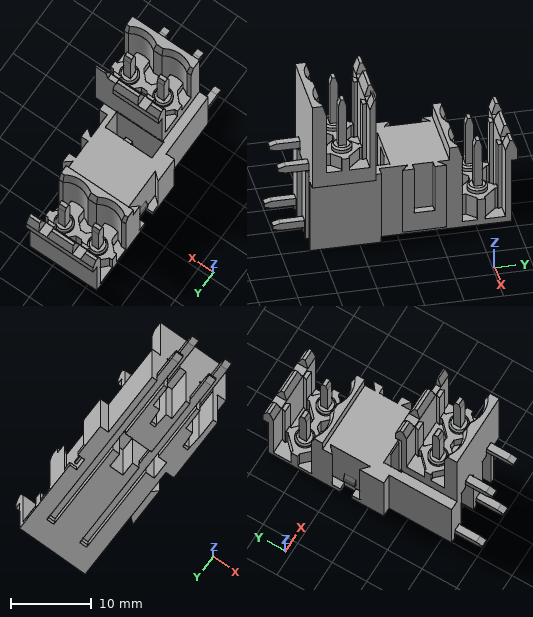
import cadquery as cq

pitch = 5.08
contacts_per_row = 2
row_width = contacts_per_row * pitch
row_shift_x = pitch / 2
row_shift_y = 17.75
row_shift_z = 10.16

deck_height = 10.2
front_left = 1.25
front_right = 11.38
step_y = 9.06
window_x = (2.38, 9.43)
window_y = (7.96, 10.53)

wall_front = 17.94
scoop_wall_inner = 19.57
latch_wall_inner = 25.06
latch_wall_outer = 25.83
barb_tip = 26.63
barb_bottom = 9.04
barb_shoulder = 10.6
socket_top = 12.0
barb_crest = (25.60, 26.02)
top_bevel = 0.48
rear_floor = 0.82
front_floor = 12.23
pedestal_top = 3.80
pin_y = 22.03

scoop_radius = 3.1
notch_bottom_width = 1.21
notch_top_width = 1.78
rib_root_width = 0.85
rib_face_width = 1.25
rib_inner = 24.53
rib_top = 10.27

neck_half_width = 0.42
neck_start_y = 24.21
arm_half_width = 2.13
web_back_y = 22.49
web_front_y = 21.52
foot_half_width = 1.0
foot_start_y = 20.36

pin_size = 1.04
pin_tip_size = 0.52
pin_taper = 0.92
pin_top = 11.24
tail_z = 1.88
tail_overhang_rear = 4.0
tail_overhang_front = 3.9
collar_radius = 1.28
collar_height = 0.70
collar_bevel = 0.25

joint_y = 14.56
tongue_reach = 1.04
tongue_neck = 3.86
tongue_head = 5.56
groove_depth = 1.05
groove_mouth = 3.95
groove_back = 5.76
joint_bottom = 1.0
stem_gap = 1.65
catch_reach = 0.31
catch_bottom = 2.03
catch_ledge = 2.50
catch_knee = 2.77
catch_knee_inset = 0.06
catch_top = 3.67
relief_width = 2.60

slot_top = 10.6
slots_x = ((3.6, 6.5), (8.66, 10.7))
slot_depth = 2.9
channel_depth = 4.75
channel_back_width = 0.74
lead_in_height = 0.15
lead_in_length = 0.3

core_left = 4.08
core_top = 9.2
core_depth = 2.0


def block(x0, x1, y0, y1, z0, z1):
    """Axis-aligned box between two opposite corners."""
    return cq.Workplane("XY").box(x1 - x0, y1 - y0, z1 - z0, centered=False).translate((x0, y0, z0))


def prism_x(points, x0, x1):
    """Outline in (Y, Z), extruded from x0 to x1."""
    return cq.Workplane("YZ").polyline(points).close().extrude(x1 - x0).translate((x0, 0, 0))


def prism_z(points, z0, z1):
    """Outline in (X, Y), extruded from z0 to z1."""
    return cq.Workplane("XY").polyline(points).close().extrude(z1 - z0).translate((0, 0, z0))


def contact_positions():
    """X positions of the contacts along the rear row."""
    return [(i + 0.5) * pitch for i in range(contacts_per_row)]


def socket_profile(front_face, base, floor):
    """U-shaped section: scooped wall in front, barbed latch wall behind."""
    return [
        (front_face, base),
        (latch_wall_outer, base),
        (latch_wall_outer, barb_bottom),
        (barb_tip, barb_bottom),
        (barb_tip, barb_shoulder),
        (barb_crest[1], socket_top),
        (barb_crest[0], socket_top),
        (latch_wall_inner, barb_shoulder),
        (latch_wall_inner, floor),
        (scoop_wall_inner, floor),
        (scoop_wall_inner, barb_shoulder),
        (scoop_wall_inner - top_bevel, socket_top),
        (front_face, socket_top),
    ]


def scoop_cutter(x, floor):
    """Round clearance around a contact, widening through the wall's bevel."""
    barrel = cq.Workplane("XY").circle(scoop_radius).extrude(barb_shoulder - floor)
    flare = (
        cq.Workplane("XY")
        .workplane(offset=barb_shoulder - floor)
        .circle(scoop_radius)
        .workplane(offset=socket_top - barb_shoulder)
        .circle(scoop_radius + top_bevel)
        .loft(ruled=True)
    )
    front_half = block(-pitch, pitch, -pitch, scoop_wall_inner - pin_y, 0, socket_top)
    return barrel.union(flare).intersect(front_half).translate((x, pin_y, floor))


def latch_notch(x):
    """Tapered gap through the latch barbs."""
    low = notch_bottom_width / 2
    high = notch_top_width / 2
    outline = [
        (x - low, barb_shoulder),
        (x + low, barb_shoulder),
        (x + high, socket_top),
        (x - high, socket_top),
    ]
    notch = cq.Workplane("XZ").polyline(outline).close().extrude(-(barb_tip - latch_wall_inner))
    return notch.translate((0, latch_wall_inner, 0))


def key_rib(x, floor):
    """Dovetail rib on the inside of the latch wall."""
    root = rib_root_width / 2
    face = rib_face_width / 2
    outline = [
        (x - root, latch_wall_inner),
        (x + root, latch_wall_inner),
        (x + face, rib_inner),
        (x - face, rib_inner),
    ]
    return prism_z(outline, floor, rib_top)


def pedestal(x, floor):
    """Raised support around one contact, joined sideways by a web."""
    half = [
        (neck_half_width, latch_wall_inner),
        (neck_half_width, neck_start_y),
        (arm_half_width, web_back_y),
        (pitch / 2, web_back_y),
        (pitch / 2, web_front_y),
        (arm_half_width, web_front_y),
        (foot_half_width, foot_start_y),
        (foot_half_width, pin_y - scoop_radius),
    ]
    right_side = [(x + dx, y) for dx, y in half]
    left_side = [(x - dx, y) for dx, y in reversed(half)]
    return prism_z(right_side + left_side, floor, pedestal_top)


def collar(x):
    """Bevelled ring around the foot of an upright pin."""
    ring = cq.Workplane("XY").circle(collar_radius).extrude(collar_height)
    return ring.faces(">Z").edges().chamfer(collar_bevel).translate((x, pin_y, pedestal_top))


def contact(x, tail_tip_y):
    """Right-angle contact: upright pin and horizontal tail, both with wedge tips."""
    half = pin_size / 2
    tip = pin_tip_size / 2
    outline = [
        (pin_y + half, tail_z - half),
        (pin_y + half, pin_top - pin_taper),
        (pin_y + tip, pin_top),
        (pin_y - tip, pin_top),
        (pin_y - half, pin_top - pin_taper),
        (pin_y - half, tail_z + half),
        (tail_tip_y + pin_taper, tail_z + half),
        (tail_tip_y, tail_z + tip),
        (tail_tip_y, tail_z - tip),
        (tail_tip_y + pin_taper, tail_z - half),
    ]
    return prism_x(outline, x - half, x + half)


def socket(front_face, base, floor):
    """Housing of one contact row, without its contacts."""
    body = prism_x(socket_profile(front_face, base, floor), 0, row_width)
    for x in contact_positions():
        body = body.cut(scoop_cutter(x, floor)).cut(latch_notch(x))
    for x in contact_positions():
        body = body.union(key_rib(x, floor)).union(pedestal(x, floor)).union(collar(x))
    return body


def lower_housing():
    """Wide rear part and narrower front part with the window between them."""
    rear = block(0, row_width, step_y, wall_front, 0, deck_height)
    front = block(front_left, front_right, 0, step_y, 0, deck_height)
    window = block(*window_x, *window_y, 0, deck_height)
    return rear.union(front).cut(window)


def core_pocket():
    """Pocket midway between the rear contacts, entered from the window."""
    return block(core_left, row_width - core_left, window_y[1], window_y[1] + core_depth, 0, core_top)


def dovetail(x, mouth, back, reach):
    """Dovetail from its narrow side at x to its wide side at x + reach."""
    outline = [
        (x, joint_y - mouth / 2),
        (x + reach, joint_y - back / 2),
        (x + reach, joint_y + back / 2),
        (x, joint_y + mouth / 2),
    ]
    return prism_z(outline, joint_bottom, deck_height)


def tongue():
    """Dovetail tongue, notched above the height of the catch."""
    relief = block(
        row_width,
        row_width + tongue_reach,
        joint_y - relief_width / 2,
        joint_y + relief_width / 2,
        catch_top,
        deck_height,
    )
    return dovetail(row_width, tongue_neck, tongue_head, tongue_reach).cut(relief)


def groove():
    """Cutter for the dovetail groove and the gap in its floor."""
    gap = block(0, groove_depth, joint_y - stem_gap / 2, joint_y + stem_gap / 2, 0, joint_bottom)
    return dovetail(0, groove_mouth, groove_back, groove_depth).union(gap)


def catch():
    """Ramped nub on the back of the groove."""
    tip = groove_depth - catch_reach
    outline = [
        (groove_depth, catch_bottom),
        (tip, catch_bottom),
        (tip, catch_ledge),
        (tip + catch_knee_inset, catch_knee),
        (groove_depth, catch_top),
    ]
    nub = cq.Workplane("XZ").polyline(outline).close().extrude(-stem_gap)
    return nub.translate((0, joint_y - stem_gap / 2, 0))


def lead_in(x, width, end_y):
    """Bevel on the lower edge of a slot's end face."""
    outline = [(end_y, 0), (end_y + lead_in_length, 0), (end_y, lead_in_height)]
    return prism_x(outline, x - width / 2, x + width / 2)


def rear_tail_slot(x):
    """Slot below a rear contact's tail, open to the underside."""
    half = pin_size / 2
    slot = block(x - half, x + half, 0, pin_y + half, 0, tail_z)
    return slot.union(lead_in(x, pin_size, pin_y + half))


def front_contact_channel(x):
    """Slot below a front contact's tail, narrowing towards its back."""
    mouth = pin_size / 2
    back = channel_back_width / 2
    outline = [
        (x - mouth, 0),
        (x + mouth, 0),
        (x + mouth, slot_depth),
        (x + back, channel_depth),
        (x - back, channel_depth),
        (x - mouth, slot_depth),
    ]
    channel = prism_z(outline, 0, tail_z + row_shift_z)
    return channel.union(lead_in(x, channel_back_width, channel_depth))


def to_front_row(body):
    """Move a body from the rear row's place to the front row's."""
    return body.translate((row_shift_x, -row_shift_y, row_shift_z))


def front_socket():
    """Raised socket of the front row."""
    body = to_front_row(socket(row_shift_y, deck_height - row_shift_z, front_floor - row_shift_z))
    barb_trim = block(
        window_x[1],
        row_shift_x + row_width,
        latch_wall_outer - row_shift_y,
        barb_tip - row_shift_y,
        deck_height,
        socket_top + row_shift_z,
    )
    return body.cut(barb_trim)


housing = lower_housing().union(socket(wall_front, 0, rear_floor)).union(front_socket())
housing = housing.cut(core_pocket()).cut(groove()).union(catch()).union(tongue())

for slot_left, slot_right in slots_x:
    housing = housing.cut(block(slot_left, slot_right, 0, slot_depth, 0, slot_top))
for contact_x in contact_positions():
    housing = housing.cut(rear_tail_slot(contact_x)).cut(front_contact_channel(contact_x + row_shift_x))

result = housing
for contact_x in contact_positions():
    result = result.union(contact(contact_x, -tail_overhang_rear))
    result = result.union(to_front_row(contact(contact_x, row_shift_y - tail_overhang_front)))